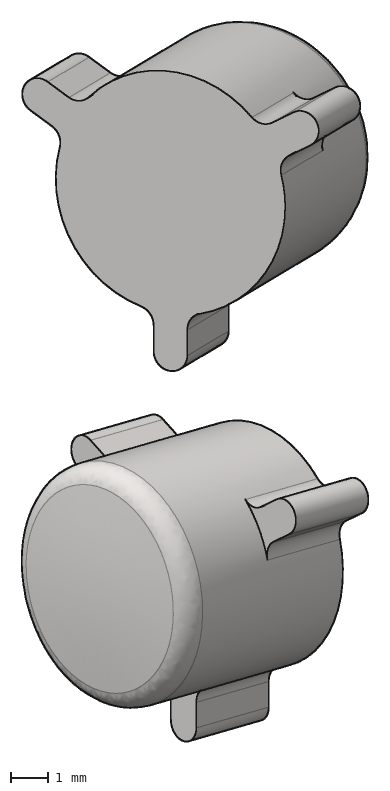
import cadquery as cq
import math

span = 8.79
length = 6.0
body_radius = 3.4
tab_end_radius = 0.5
tab_length = 2.7
tab_count = 3
root_fillet = 0.5
dome_radius = 23.29
rim_fillet = 0.6

tab_step = 360 / tab_count
upper_tab_angle = tab_step - 90
tab_tip_center = (span / 2 - tab_end_radius) / math.cos(math.radians(upper_tab_angle))

BASE = cq.Plane(origin=(0, 0, 0), xDir=(1, 0, 0), normal=(0, -1, 0))


def make_body():
    """Domed cylinder with a rounded rim, revolved about the Y axis."""
    dome_center = length - dome_radius

    def dome_height(x):
        return dome_center + math.sqrt(dome_radius**2 - x**2)

    mid_x = body_radius / 2
    body = (
        cq.Workplane("XY")
        .lineTo(body_radius, 0)
        .lineTo(body_radius, dome_height(body_radius))
        .threePointArc((mid_x, dome_height(mid_x)), (0, length))
        .close()
        .revolve(360, (0, 0), (0, 1))
    )
    return body.edges(cq.selectors.RadiusNthSelector(0)).edges(">Y").fillet(rim_fillet)


def make_tab():
    """Tab pointing down (-Z), flared into the body by a fillet on each side."""
    root_x = tab_end_radius + root_fillet
    center_distance = body_radius + root_fillet
    root_z = -math.sqrt(center_distance**2 - root_x**2)

    touch_x = root_x * body_radius / center_distance
    touch_z = root_z * body_radius / center_distance

    body_angle = math.atan2(-root_z, -root_x)
    tab_angle = math.pi
    mid_angle = (body_angle + tab_angle) / 2
    mid_x = root_x + root_fillet * math.cos(mid_angle)
    mid_z = root_z + root_fillet * math.sin(mid_angle)

    return (
        cq.Workplane(BASE)
        .lineTo(touch_x, touch_z)
        .threePointArc((mid_x, mid_z), (tab_end_radius, root_z))
        .lineTo(tab_end_radius, -tab_tip_center)
        .threePointArc((0, -tab_tip_center - tab_end_radius), (-tab_end_radius, -tab_tip_center))
        .lineTo(-tab_end_radius, root_z)
        .threePointArc((-mid_x, mid_z), (-touch_x, touch_z))
        .close()
        .extrude(-tab_length)
    )


result = make_body()
tab = make_tab()
for index in range(tab_count):
    result = result.union(tab.rotate((0, 0, 0), (0, 1, 0), index * tab_step))